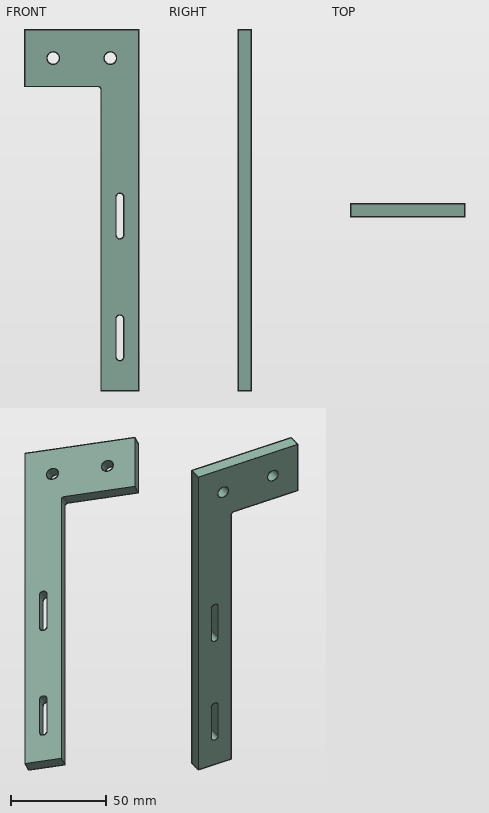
import cadquery as cq

height = 190.0
width = 60.0
thickness = 7.0

head_height = 30.0
leg_width = 20.0
inner_corner_radius = 1.5

hole_diameter = 6.5
hole_spacing = width / 2

slot_width = 4.0
slot_length = 24.0
lower_slot_height = 28.0
slot_spacing = 64.0

leg_left = width - leg_width
head_bottom = height - head_height


def make_plate():
    """L-shaped plate with its front face on Y = 0 and a rounded inner corner."""
    head = cq.Workplane("XY").box(width, thickness, head_height, centered=False)
    head = head.translate((0, 0, head_bottom))
    leg = cq.Workplane("XY").box(leg_width, thickness, height, centered=False)
    leg = leg.translate((leg_left, 0, 0))
    inner_corner = cq.selectors.NearestToPointSelector((leg_left, thickness / 2, head_bottom))
    return head.union(leg).edges(inner_corner).fillet(inner_corner_radius)


def make_head_holes():
    """Two through holes, centred on the head."""
    hole_height = height - head_height / 2
    centres = [(width / 2 + side * hole_spacing / 2, hole_height) for side in (-1, 1)]
    return cq.Workplane("XZ").pushPoints(centres).circle(hole_diameter / 2).extrude(-thickness)


def make_leg_slots():
    """Two through slots with round ends, running along the leg."""
    slot_x = width - leg_width / 2
    centres = [(slot_x, lower_slot_height + i * slot_spacing) for i in range(2)]
    return cq.Workplane("XZ").pushPoints(centres).slot2D(slot_length, slot_width, 90).extrude(-thickness)


result = make_plate().cut(make_head_holes()).cut(make_leg_slots())